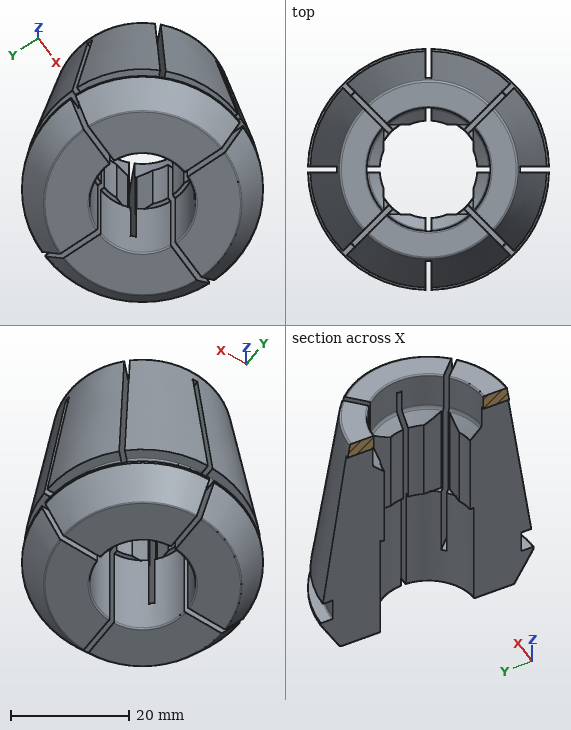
import cadquery as cq
import math

height = 46.0
flange_radius = 20.42
top_edge_fillet = 0.35

taper_angle = 8.0
taper_radius = 20.0
taper_base_z = 11.2

groove_radius = 18.1
groove_base_z = 6.95
groove_fillet = 0.25
flange_band = 0.5
nose_angle = 30.0
nose_edge_fillet = 0.28

bore_radius = 10.45
bore_mouth_fillet = 0.28
bore_wall_end_z = 38.65
bore_floor_angle = 45.0
bore_floor_fillet = 1.0

square_size = 15.2
flat_relief_radius = 8.25
corner_radius = 10.0

shank_radius = 8.95
shank_depth = 20.7
shank_mouth_fillet = 0.28

slit_width = 0.95
bottom_slit_end_z = 43.0
top_slit_end_z = 7.45
slit_length = 2 * flange_radius + slit_width

radius_tolerance = 0.005


def circle_edges(body, radius):
    """Circular edges of the given radius around the Z axis."""
    return body.edges("%CIRCLE").filter(lambda edge: abs(edge.radius() - radius) < radius_tolerance)


def make_body():
    """Turned outside: nose cone, flange band, groove and clamping taper."""
    band_base_z = groove_base_z - flange_band
    nose_radius = flange_radius - band_base_z * math.tan(math.radians(nose_angle))
    top_radius = taper_radius - (height - taper_base_z) * math.tan(math.radians(taper_angle))
    body = (
        cq.Workplane("XZ")
        .moveTo(0, 0)
        .lineTo(nose_radius, 0)
        .lineTo(flange_radius, band_base_z)
        .lineTo(flange_radius, groove_base_z)
        .lineTo(groove_radius, groove_base_z)
        .lineTo(groove_radius, taper_base_z)
        .lineTo(taper_radius, taper_base_z)
        .lineTo(top_radius, height)
        .lineTo(0, height)
        .close()
        .revolve(360, (0, 0, 0), (0, 1, 0))
    )
    body = circle_edges(body, nose_radius).fillet(nose_edge_fillet)
    body = circle_edges(body, groove_radius).fillet(groove_fillet)
    return circle_edges(body, top_radius).fillet(top_edge_fillet)


def make_upper_bore():
    """Cylinder above a cone that points down, blended where they meet."""
    cone_tip_z = bore_wall_end_z - bore_radius * math.tan(math.radians(bore_floor_angle))
    bore = (
        cq.Workplane("XZ")
        .moveTo(0, cone_tip_z)
        .lineTo(bore_radius, bore_wall_end_z)
        .lineTo(bore_radius, height)
        .lineTo(0, height)
        .close()
        .revolve(360, (0, 0, 0), (0, 1, 0))
    )
    return circle_edges(bore.faces("<Z"), bore_radius).fillet(bore_floor_fillet)


def make_square_socket():
    """Square hole with rounded corners, widened by a round relief in the middle of each flat."""
    base = cq.Workplane("XY", origin=(0, 0, shank_depth))
    socket_length = bore_wall_end_z - shank_depth
    corner_limit = base.circle(corner_radius).extrude(socket_length)
    square = base.rect(square_size, square_size).extrude(socket_length)
    flat_relief = base.circle(flat_relief_radius).extrude(socket_length)
    return square.intersect(corner_limit).union(flat_relief)


def make_slits(start_z, end_z, first_angle):
    """Two crossed full-width slits, which split the wall at four places."""
    slit = (
        cq.Workplane("XY", origin=(0, 0, start_z))
        .rect(slit_length, slit_width)
        .extrude(end_z - start_z)
        .rotate((0, 0, 0), (0, 0, 1), first_angle)
    )
    return slit.union(slit.rotate((0, 0, 0), (0, 0, 1), 90))


shank_bore = cq.Workplane("XY").circle(shank_radius).extrude(shank_depth)

result = make_body().cut(make_upper_bore()).cut(make_square_socket()).cut(shank_bore)
result = circle_edges(result.faces(">Z"), bore_radius).fillet(bore_mouth_fillet)
result = circle_edges(result.faces("<Z"), shank_radius).fillet(shank_mouth_fillet)
result = result.cut(make_slits(0, bottom_slit_end_z, 0))
result = result.cut(make_slits(top_slit_end_z, height, 45))